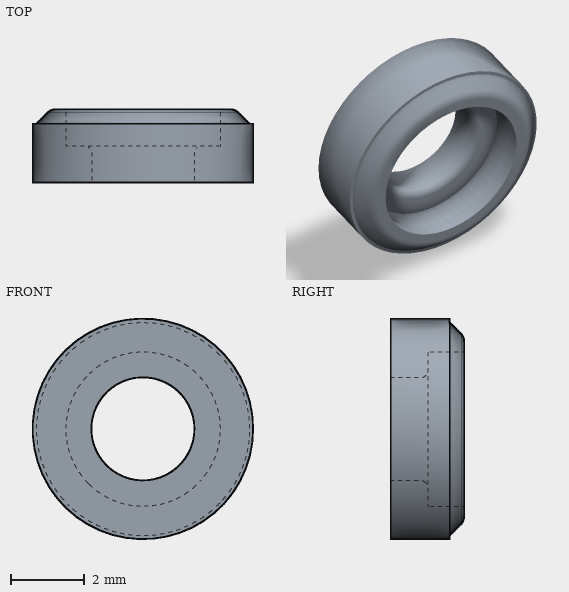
import cadquery as cq
import math

outer_radius = 3.0
bore_radius = 1.4
ring_width = 2.0
rim_width = 1.6
ledge_width = 0.1
nose_angle = 45
nose_rounding = 0.3
counterbore_radius = 2.1
flange_thickness = 1.0
lip_rounding = 0.2

front_y = -ring_width / 2
back_y = ring_width / 2
floor_y = front_y + flange_thickness
shoulder_y = front_y + rim_width
cone_base_radius = outer_radius - ledge_width
nose_height = ring_width - rim_width
nose_radius = cone_base_radius - nose_height / math.tan(math.radians(nose_angle))

section = (
    cq.Workplane("XY")
    .moveTo(bore_radius, front_y)
    .lineTo(outer_radius, front_y)
    .lineTo(outer_radius, shoulder_y)
    .lineTo(cone_base_radius, shoulder_y)
    .lineTo(nose_radius, back_y)
    .lineTo(counterbore_radius, back_y)
    .lineTo(counterbore_radius, floor_y)
    .lineTo(bore_radius + lip_rounding, floor_y)
    .tangentArcPoint((bore_radius, floor_y - lip_rounding), relative=False)
    .close()
)
ring = section.revolve(360, (0, 0, 0), (0, 1, 0))

nose_edge = ring.faces(">Y").edges(cq.selectors.RadiusNthSelector(-1))
result = nose_edge.fillet(nose_rounding)